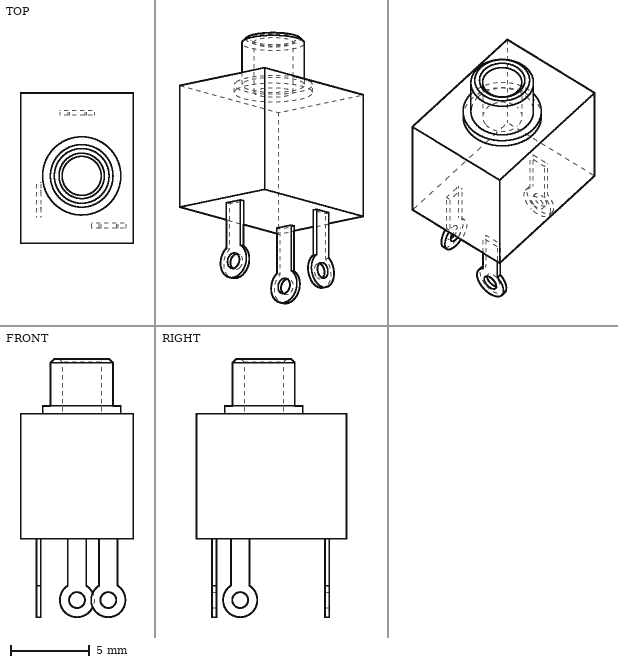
import cadquery as cq


housing_x = 7.2
housing_y = 9.6
housing_z = 8.0

socket_x = 0.3
socket_y = -0.5
flange_diameter = 5.0
flange_height = 0.5
barrel_diameter = 4.0
barrel_height = 3.0
barrel_chamfer = 0.25
bore_diameter = 2.5
bore_chamfer = 0.2
bore_depth = barrel_height + flange_height

lug_length = 5.0
lug_thickness = 0.3
lug_strip_width = 1.2
lug_eye_diameter = 2.2
lug_hole_diameter = 1.0
lug_eye_drop = lug_length - lug_eye_diameter / 2

lug_places = [
    (2.0, -3.65, 0),
    (0.0, 3.55, 0),
    (-2.45, -2.0, 90),
]


def make_housing():
    return cq.Workplane("XY").box(housing_x, housing_y, housing_z, centered=(True, True, False))


def make_socket():
    """Flange and bored barrel, standing on Z = 0 around the Z axis."""
    flange = cq.Workplane("XY").circle(flange_diameter / 2).extrude(flange_height)
    barrel = (
        cq.Workplane("XY")
        .circle(barrel_diameter / 2)
        .extrude(flange_height + barrel_height)
        .faces(">Z")
        .chamfer(barrel_chamfer)
    )
    bore = (
        cq.Workplane("XY", origin=(0, 0, flange_height + barrel_height))
        .circle(bore_diameter / 2)
        .extrude(-bore_depth)
    )
    bore_mouth = cq.Workplane(
        cq.Solid.makeCone(
            bore_diameter / 2,
            bore_diameter / 2 + bore_chamfer,
            bore_chamfer,
            pnt=cq.Vector(0, 0, flange_height + barrel_height - bore_chamfer),
        )
    )
    return flange.union(barrel).cut(bore).cut(bore_mouth)


def make_lug():
    """One lug hanging below Z = 0, centred on the Z axis and facing -Y."""
    half_thickness = lug_thickness / 2
    strip = (
        cq.Workplane("XZ")
        .center(0, -lug_eye_drop / 2)
        .rect(lug_strip_width, lug_eye_drop)
        .extrude(half_thickness, both=True)
    )
    eye_plane = cq.Workplane("XZ").center(0, -lug_eye_drop)
    eye = eye_plane.circle(lug_eye_diameter / 2).extrude(half_thickness, both=True)
    hole = eye_plane.circle(lug_hole_diameter / 2).extrude(half_thickness, both=True)
    return strip.union(eye).cut(hole)


result = make_housing().union(make_socket().translate((socket_x, socket_y, housing_z)))
for lug_x, lug_y, turn in lug_places:
    lug = make_lug().rotate((0, 0, 0), (0, 0, 1), turn).translate((lug_x, lug_y, 0))
    result = result.union(lug)